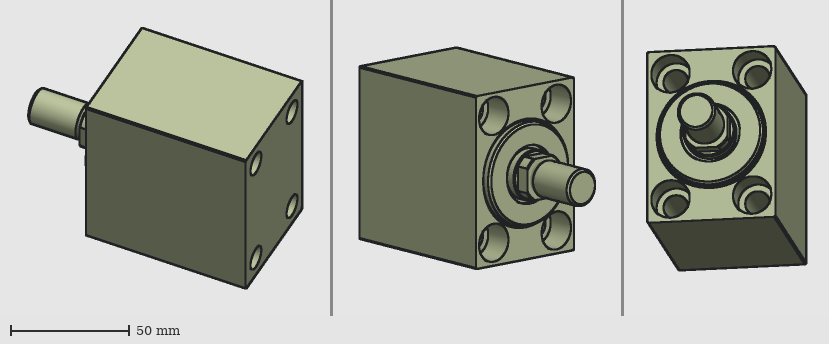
import cadquery as cq


housing_length = 75.0
housing_width = 55.0
housing_height = 75.0
edge_chamfer = 0.6
bolt_spacing_y = 35.0
bolt_spacing_z = 55.0
bolt_hole_diameter = 10.5
counterbore_diameter = 16.5
counterbore_depth = 13.0

gland_diameter = 45.0
gland_protrusion = 3.0
gland_insertion = 10.0
gland_chamfer = 1.0
bore_chamfer = 1.0

wiper_diameter = 25.4
wiper_width = 4.0
wiper_recess = 2.0

rod_reach = 37.0
rod_diameter = 22.1
rod_chamfer = 0.5
stud_diameter = 16.0
stud_length = 25.0
stud_chamfer = 1.0
undercut_diameter = 13.8
undercut_width = 2.4
undercut_fillet = 0.3
neck_length = 6.3
neck_diameter = 21.0
neck_chamfer = 0.3
across_flats = 18.0

stud_tip_x = -rod_reach
neck_start_x = stud_tip_x + stud_length
undercut_start_x = neck_start_x - undercut_width
shoulder_x = neck_start_x + neck_length
gland_face_x = -gland_protrusion
wiper_face_x = gland_face_x + wiper_recess
wiper_end_x = wiper_face_x + wiper_width


def cylinder(diameter, start_x, end_x):
    """Solid cylinder on the X axis between two stations."""
    return cq.Workplane("YZ", origin=(start_x, 0, 0)).circle(diameter / 2).extrude(end_x - start_x)


def make_housing():
    block = cq.Workplane("YZ").rect(housing_width, housing_height).extrude(housing_length)
    block = block.edges("|X").chamfer(edge_chamfer)

    block = block.cut(cylinder(gland_diameter, 0, gland_insertion))
    block = block.faces("<X").edges("%CIRCLE").chamfer(bore_chamfer)

    for y in (-bolt_spacing_y / 2, bolt_spacing_y / 2):
        for z in (-bolt_spacing_z / 2, bolt_spacing_z / 2):
            hole = cylinder(bolt_hole_diameter, 0, housing_length)
            hole = hole.union(cylinder(counterbore_diameter, 0, counterbore_depth))
            block = block.cut(hole.translate((0, y, z)))
    return block


def make_gland():
    gland = cylinder(gland_diameter, gland_face_x, gland_insertion)
    gland = gland.faces("<X").edges().chamfer(gland_chamfer)
    gland = gland.cut(cylinder(rod_diameter, gland_face_x, gland_insertion))
    return gland.cut(cylinder(wiper_diameter, gland_face_x, wiper_end_x))


def make_wiper():
    ring = cylinder(wiper_diameter, wiper_face_x, wiper_end_x)
    return ring.cut(cylinder(rod_diameter, wiper_face_x, wiper_end_x))


def make_undercut():
    """Undercut between stud and neck, flaring by a fillet into the face at each end."""
    root = undercut_diameter / 2
    rim = root + undercut_fillet
    middle_start_x = undercut_start_x + undercut_fillet
    middle_end_x = neck_start_x - undercut_fillet
    profile = (
        cq.Workplane("XY")
        .moveTo(undercut_start_x, 0)
        .lineTo(undercut_start_x, rim)
        .radiusArc((middle_start_x, root), -undercut_fillet)
        .lineTo(middle_end_x, root)
        .radiusArc((neck_start_x, rim), -undercut_fillet)
        .lineTo(neck_start_x, 0)
        .close()
    )
    return profile.revolve(360, (0, 0, 0), (1, 0, 0))


def make_rod():
    stud = cylinder(stud_diameter, stud_tip_x, undercut_start_x)
    stud = stud.faces("<X").edges().chamfer(stud_chamfer)

    neck = cylinder(neck_diameter, neck_start_x, shoulder_x)
    neck = neck.faces("<X").edges().chamfer(neck_chamfer)
    neck = neck.intersect(
        cq.Workplane("YZ", origin=(neck_start_x, 0, 0)).rect(across_flats, across_flats).extrude(neck_length)
    )

    shank = cylinder(rod_diameter, shoulder_x, gland_insertion)
    shank = shank.faces("<X").edges().chamfer(rod_chamfer)
    return stud.union(make_undercut()).union(neck).union(shank)


housing = make_housing()
gland = make_gland()
wiper = make_wiper()
rod = make_rod()

result = cq.Compound.makeCompound([housing.val(), gland.val(), wiper.val(), rod.val()])